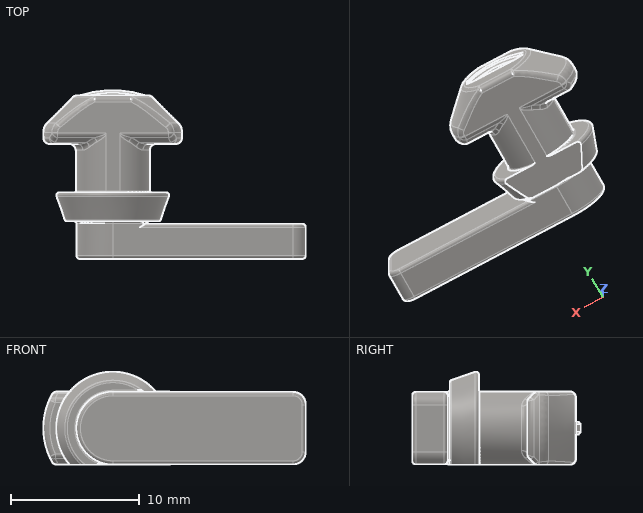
import cadquery as cq
import math

FLAT_HALF = 2.86

LEVER_HALF_WIDTH = 2.83
LEVER_TIP_X = 15.02
LEVER_THICKNESS = 2.77
LEVER_CORNER_RADIUS = 1.0
LEVER_EDGE_ROUND = 0.3

HUB_RAMP_FOOT_X = 2.1
HUB_RAMP_HEAD_X = 2.8
HUB_FILLET = 0.14

FLANGE_FRONT_Y = 2.93
FLANGE_BACK_Y = 5.21
FLANGE_FRONT_RADIUS = 3.7
FLANGE_BACK_RADIUS = 4.5
FLANGE_FRONT_ROUND = 0.2
FLANGE_BACK_ROUND = 0.25

SHAFT_RADIUS = 2.91
SHAFT_FRONT_FILLET = 0.1
SHAFT_HEAD_FILLET = 0.45
SHAFT_ROOT_DEPTH = 1.5

HEAD_RADIUS = 5.41
HEAD_BOTTOM_Y = 8.95
HEAD_TOP_Y = 12.76
HEAD_TOP_RADIUS = 2.95
HEAD_SHOULDER_ROUND = 1.0
HEAD_EDGE_ROUND = 0.5
HEAD_CHAMFER = 0.66
HEAD_FLAT_INSET = HEAD_CHAMFER + HEAD_EDGE_ROUND * math.tan(math.pi / 8)

RIB_TOP_Y = 13.15
RIB_HALF_LENGTH = 2.5
RIB_HALF_WIDTH = 0.5
RIB_CHAMFER = 0.2
RIB_ROOT_DEPTH = 0.3

SELECT_MARGIN = 0.02
CLEARANCE = 4 * HEAD_RADIUS


def disc(radius, y_start, y_end):
    return cq.Workplane("XZ", origin=(0, y_start, 0)).circle(radius).extrude(y_start - y_end)


def slab(half_height):
    return cq.Workplane("XY").box(CLEARANCE, 2 * CLEARANCE, 2 * half_height)


def beyond_flat(side):
    block = cq.Workplane("XY").box(2 * CLEARANCE, 2 * CLEARANCE, CLEARANCE)
    return block.translate((0, 0, side * (FLAT_HALF + CLEARANCE / 2)))


def lever_prism(thickness):
    return (
        cq.Workplane("XZ")
        .moveTo(0, LEVER_HALF_WIDTH)
        .lineTo(LEVER_TIP_X, LEVER_HALF_WIDTH)
        .lineTo(LEVER_TIP_X, -LEVER_HALF_WIDTH)
        .lineTo(0, -LEVER_HALF_WIDTH)
        .threePointArc((-LEVER_HALF_WIDTH, 0), (0, LEVER_HALF_WIDTH))
        .close()
        .extrude(-thickness)
    )


def make_lever():
    lever = lever_prism(LEVER_THICKNESS).edges("|Y and >X").fillet(LEVER_CORNER_RADIUS)
    return lever.faces("<Y or >Y").edges().fillet(LEVER_EDGE_ROUND)


def make_hub():
    face_plate = disc(2 * LEVER_TIP_X, FLANGE_FRONT_Y, FLANGE_BACK_Y)
    stub = lever_prism(FLANGE_FRONT_Y).union(face_plate)
    wall_reach = LEVER_HALF_WIDTH + SELECT_MARGIN
    foot_edges = cq.selectors.BoxSelector(
        (-wall_reach, FLANGE_FRONT_Y - SELECT_MARGIN, -wall_reach),
        (LEVER_TIP_X, FLANGE_FRONT_Y + SELECT_MARGIN, wall_reach),
        boundingbox=True,
    )
    stub = stub.edges(foot_edges).fillet(HUB_FILLET)
    hub_zone = (
        cq.Workplane("XY", origin=(0, 0, -FLANGE_BACK_RADIUS))
        .moveTo(-FLANGE_BACK_RADIUS, LEVER_EDGE_ROUND)
        .lineTo(HUB_RAMP_FOOT_X, LEVER_EDGE_ROUND)
        .lineTo(HUB_RAMP_FOOT_X, LEVER_THICKNESS - LEVER_EDGE_ROUND)
        .lineTo(HUB_RAMP_HEAD_X, FLANGE_FRONT_Y)
        .lineTo(-FLANGE_BACK_RADIUS, FLANGE_FRONT_Y)
        .close()
        .extrude(2 * FLANGE_BACK_RADIUS)
    )
    flange_face = disc(FLANGE_FRONT_RADIUS, 0, FLANGE_FRONT_Y)
    return stub.intersect(hub_zone).intersect(flange_face)


def make_flange():
    flange = (
        cq.Workplane("YZ")
        .moveTo(FLANGE_FRONT_Y, 0)
        .lineTo(FLANGE_FRONT_Y, FLANGE_FRONT_RADIUS)
        .lineTo(FLANGE_BACK_Y, FLANGE_BACK_RADIUS)
        .lineTo(FLANGE_BACK_Y, 0)
        .close()
        .revolve(360, (0, 0, 0), (1, 0, 0))
    )
    flange = flange.faces("<Y").edges().fillet(FLANGE_FRONT_ROUND)
    return flange.faces(">Y").edges().fillet(FLANGE_BACK_ROUND)


def make_head():
    shoulder_y = HEAD_TOP_Y - (HEAD_RADIUS - HEAD_TOP_RADIUS)
    turned = (
        cq.Workplane("XY")
        .moveTo(0, HEAD_BOTTOM_Y)
        .lineTo(HEAD_RADIUS, HEAD_BOTTOM_Y)
        .lineTo(HEAD_RADIUS, shoulder_y)
        .lineTo(HEAD_TOP_RADIUS, HEAD_TOP_Y)
        .lineTo(0, HEAD_TOP_Y)
        .close()
        .revolve(360, (0, 0, 0), (0, 1, 0))
    )
    head = turned.intersect(slab(FLAT_HALF))
    head = head.faces("<Y").edges("|X").chamfer(HEAD_CHAMFER)
    shoulder_edges = cq.selectors.BoxSelector(
        (-HEAD_RADIUS, shoulder_y - SELECT_MARGIN, -FLAT_HALF),
        (HEAD_RADIUS, shoulder_y + SELECT_MARGIN, FLAT_HALF),
    )
    head = head.edges(shoulder_edges).fillet(HEAD_SHOULDER_ROUND)
    return head.edges().fillet(HEAD_EDGE_ROUND)


def make_rib():
    profile = (
        cq.Workplane("XY", origin=(0, 0, -RIB_HALF_WIDTH))
        .moveTo(-RIB_HALF_LENGTH, HEAD_TOP_Y)
        .threePointArc((0, RIB_TOP_Y), (RIB_HALF_LENGTH, HEAD_TOP_Y))
        .lineTo(RIB_HALF_LENGTH, HEAD_TOP_Y - RIB_ROOT_DEPTH)
        .lineTo(-RIB_HALF_LENGTH, HEAD_TOP_Y - RIB_ROOT_DEPTH)
        .close()
    )
    rib = profile.extrude(2 * RIB_HALF_WIDTH)
    return rib.edges(">Z or <Z").edges("%CIRCLE").chamfer(RIB_CHAMFER)


def shaft_side_flat():
    length = HEAD_BOTTOM_Y - SHAFT_HEAD_FILLET - FLANGE_BACK_Y
    block = cq.Workplane("XY").box(SHAFT_RADIUS, length, 2 * SHAFT_RADIUS, centered=(False, False, True))
    return block.translate((-FLAT_HALF - SHAFT_RADIUS, FLANGE_BACK_Y, 0))


def make_shaft_and_head():
    shaft = disc(SHAFT_RADIUS, FLANGE_BACK_Y, HEAD_BOTTOM_Y + SHAFT_ROOT_DEPTH)
    body = make_head().union(shaft)
    junction = cq.selectors.BoxSelector(
        (-SHAFT_RADIUS - SELECT_MARGIN, HEAD_BOTTOM_Y - SELECT_MARGIN, -SHAFT_RADIUS),
        (SHAFT_RADIUS + SELECT_MARGIN, HEAD_BOTTOM_Y + HEAD_FLAT_INSET + SELECT_MARGIN, SHAFT_RADIUS),
    )
    body = body.edges(junction).edges("not %LINE").fillet(SHAFT_HEAD_FILLET)
    return body.cut(beyond_flat(1)).cut(shaft_side_flat())


def make_latch():
    turned_parts = make_flange().union(make_shaft_and_head())
    shaft_reach = SHAFT_RADIUS + SELECT_MARGIN
    shaft_foot = cq.selectors.BoxSelector(
        (-shaft_reach, FLANGE_BACK_Y - SELECT_MARGIN, -shaft_reach),
        (shaft_reach, FLANGE_BACK_Y + SELECT_MARGIN, shaft_reach),
        boundingbox=True,
    )
    turned_parts = turned_parts.edges(shaft_foot).fillet(SHAFT_FRONT_FILLET)
    body = turned_parts.union(make_hub()).cut(beyond_flat(-1))
    return body.union(make_lever()).union(make_rib())


result = make_latch()